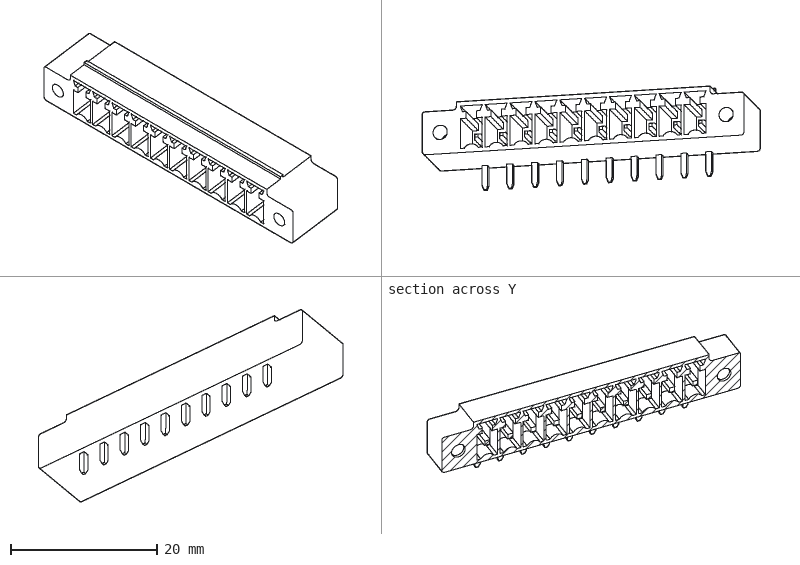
import cadquery as cq

length = 45.3
depth = 9.2
ear_height = 6.05
body_height = 7.2
body_half_width = 17.85
bottom_radius = 0.5
ear_top_radius = 0.4
step_radius = 0.5

rib_front = 2.85
rib_width = 0.55
rib_height = 0.4

contact_count = 10
contact_span = 31.5
contact_pitch = contact_span / (contact_count - 1)
pin_size = 0.8
pin_tip_size = 0.4
pin_tip_length = 0.65
pin_drop = 3.35
pin_back_offset = 1.15
pin_height = 3.05
pin_front_setback = 3.0

pocket_depth = 6.98
pocket_floor = 0.6
pocket_half_width = 1.55
shoulder_height = 4.8
neck_half_width = 0.72
neck_top = 5.75
keyway_bottom_half_width = 1.22
keyway_top = 6.55
keyway_half_width = 1.55
ridge_half_width = 1.0
ridge_top = 1.15

screw_hole_diameter = 2.0
screw_hole_inset = 2.55
screw_hole_height = 3.05
screw_hole_depth = 5.0

front = -depth / 2
back = depth / 2
half_length = length / 2
pin_axis_y = back - pin_back_offset


def front_plane():
    """Plane of the front face with local axes X and Z; negative distances go into the part."""
    return cq.Workplane("XZ", origin=(0, front, 0))


def make_housing():
    """Long body with a lower ear at each end, all lengthwise corners of the ears rounded."""
    half_outline = (
        front_plane()
        .lineTo(half_length - bottom_radius, 0)
        .radiusArc((half_length, bottom_radius), -bottom_radius)
        .lineTo(half_length, ear_height - ear_top_radius)
        .radiusArc((half_length - ear_top_radius, ear_height), -ear_top_radius)
        .lineTo(body_half_width + step_radius, ear_height)
        .radiusArc((body_half_width, ear_height + step_radius), step_radius)
        .lineTo(body_half_width, body_height)
        .lineTo(0, body_height)
    )
    return half_outline.mirrorY().extrude(-depth)


def make_rib():
    """Low rib running the full length of the raised body."""
    rib = cq.Workplane("XY").box(2 * body_half_width, rib_width, rib_height, centered=(True, False, False))
    return rib.translate((0, front + rib_front, body_height))


def make_pocket():
    """T-slotted pocket with a rounded ridge left standing on its floor."""
    outline = (
        front_plane()
        .moveTo(-pocket_half_width, pocket_floor)
        .lineTo(-ridge_half_width, pocket_floor)
        .threePointArc((0, ridge_top), (ridge_half_width, pocket_floor))
        .lineTo(pocket_half_width, pocket_floor)
        .lineTo(pocket_half_width, shoulder_height)
        .lineTo(neck_half_width, shoulder_height)
        .lineTo(neck_half_width, neck_top)
        .lineTo(keyway_bottom_half_width, neck_top)
        .lineTo(keyway_half_width, keyway_top)
        .lineTo(-keyway_half_width, keyway_top)
        .lineTo(-keyway_bottom_half_width, neck_top)
        .lineTo(-neck_half_width, neck_top)
        .lineTo(-neck_half_width, shoulder_height)
        .lineTo(-pocket_half_width, shoulder_height)
        .close()
    )
    return outline.extrude(-pocket_depth)


def make_bar(total_length):
    """Square bar along +Z from its tapered tip at the origin."""
    tip = (
        cq.Workplane("XY")
        .rect(pin_tip_size, pin_tip_size)
        .workplane(offset=pin_tip_length)
        .rect(pin_size, pin_size)
        .loft(ruled=True)
    )
    shank = cq.Workplane("XY", origin=(0, 0, pin_tip_length)).rect(pin_size, pin_size)
    return tip.union(shank.extrude(total_length - pin_tip_length))


def make_pin():
    """Right-angle pin: one leg out of the bottom, one leg forward into the pocket."""
    lower_leg = make_bar(pin_drop + pin_height + pin_size / 2).translate((0, pin_axis_y, -pin_drop))
    tip_y = front + pin_front_setback
    forward_leg = make_bar(pin_axis_y - tip_y).rotate((0, 0, 0), (1, 0, 0), -90)
    return lower_leg.union(forward_leg.translate((0, tip_y, pin_height)))


def make_screw_hole(x):
    """Blind hole into the front of an ear."""
    hole = front_plane().center(x, screw_hole_height).circle(screw_hole_diameter / 2)
    return hole.extrude(-screw_hole_depth)


result = make_housing().union(make_rib())

for side in (-1, 1):
    result = result.cut(make_screw_hole(side * (half_length - screw_hole_inset)))

pocket = make_pocket()
pin = make_pin()
for index in range(contact_count):
    contact_x = index * contact_pitch - contact_span / 2
    result = result.cut(pocket.translate((contact_x, 0, 0)))
    result = result.union(pin.translate((contact_x, 0, 0)))